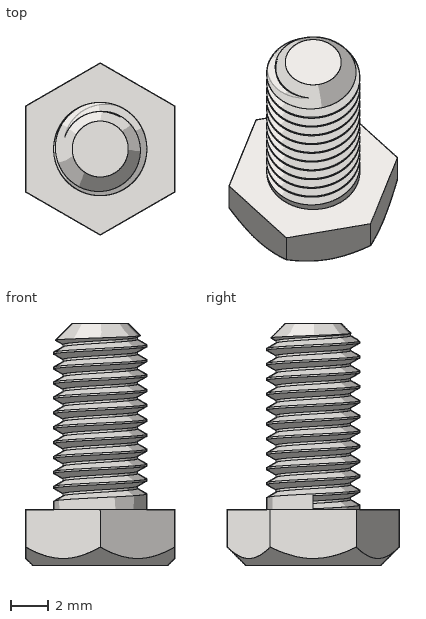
import cadquery as cq
import math

TOTAL_LENGTH = 13.0
HEAD_HEIGHT = 3.0
SHANK_LENGTH = TOTAL_LENGTH - HEAD_HEIGHT

ACROSS_FLATS = 8.0
ACROSS_CORNERS = ACROSS_FLATS / math.cos(math.radians(30))
HEAD_CHAMFER = 1.0

MAJOR_RADIUS = 5.0 / 2
TIP_CHAMFER = 1.0
THREAD_TURNS = 12.5
PITCH = SHANK_LENGTH / THREAD_TURNS
THREAD_DEPTH = 0.5
FLANK_ANGLE = 30.0
CREST_FLAT = PITCH / 8
ROOT_RADIUS = MAJOR_RADIUS - THREAD_DEPTH
FLANK_WIDTH_PER_DEPTH = 2 * math.tan(math.radians(FLANK_ANGLE))
GROOVE_FLOOR = PITCH - CREST_FLAT - THREAD_DEPTH * FLANK_WIDTH_PER_DEPTH
GROOVE_START = PITCH / 2
CUTTER_OVERRUN = 0.04
ROD_EXCESS = 2.6


def make_head():
    """Hexagonal prism whose lower corners are trimmed by a cone."""
    prism = (
        cq.Workplane("XY")
        .polygon(6, ACROSS_CORNERS)
        .extrude(HEAD_HEIGHT)
        .rotate((0, 0, 0), (0, 0, 1), 90)
    )
    corner_radius = ACROSS_CORNERS / 2
    envelope = (
        cq.Workplane("XZ")
        .moveTo(0, 0)
        .lineTo(corner_radius - HEAD_CHAMFER, 0)
        .lineTo(corner_radius, HEAD_CHAMFER)
        .lineTo(corner_radius, HEAD_HEIGHT)
        .lineTo(0, HEAD_HEIGHT)
        .close()
        .revolve(360, (0, 0, 0), (0, 1, 0))
    )
    return prism.intersect(envelope)


def make_thread_groove():
    """Right-handed helical V groove with a narrow flat floor, running out past the tip."""
    start_height = HEAD_HEIGHT + GROOVE_START
    turns = math.ceil(THREAD_TURNS)
    path = cq.Wire.makeHelix(PITCH, turns * PITCH, ROOT_RADIUS).translate(cq.Vector(0, 0, start_height))
    outer_radius = MAJOR_RADIUS + CUTTER_OVERRUN
    outer_width = GROOVE_FLOOR + (outer_radius - ROOT_RADIUS) * FLANK_WIDTH_PER_DEPTH
    section = (
        cq.Workplane("XZ")
        .moveTo(ROOT_RADIUS, start_height - GROOVE_FLOOR / 2)
        .lineTo(outer_radius, start_height - outer_width / 2)
        .lineTo(outer_radius, start_height + outer_width / 2)
        .lineTo(ROOT_RADIUS, start_height + GROOVE_FLOOR / 2)
        .close()
    )
    return section.sweep(cq.Workplane(path), isFrenet=True)


def make_rod(length):
    """Plain round rod standing on the head."""
    return cq.Workplane("XY").workplane(offset=HEAD_HEIGHT).circle(MAJOR_RADIUS).extrude(length)


def make_shank():
    """Overlong rod cut by the thread groove, then trimmed to length with a chamfered tip."""
    threaded_rod = make_rod(SHANK_LENGTH + ROD_EXCESS).cut(make_thread_groove())
    tip_envelope = make_rod(SHANK_LENGTH).faces(">Z").chamfer(TIP_CHAMFER)
    return threaded_rod.intersect(tip_envelope)


head = make_head()
shank = make_shank()

result = cq.Compound.makeCompound([head.val(), *shank.vals()])